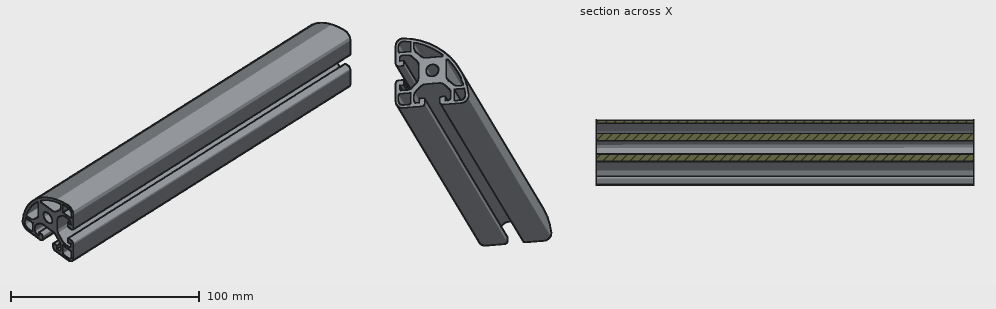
import cadquery as cq
import math

length = 200
half = 40 / 2
curve_radius = 40
corner_radius = 4.2
skin = 1.8
inner_radius = curve_radius - skin
bore_diameter = 6.8
core_half = 15.0 / 2

mouth_half = 8 / 2
mouth_outer_round = 1.8
mouth_inner_round = 1.0
nub_half = 7.0
nub_depth = 4.5
lip_depth = 2.2
slot_half = 10
slot_corner_round = 1.5

web_wall = 1.8
flat_wall = 1.5
chamber_start = slot_half + web_wall
chamber_end = half - flat_wall
chamber_outer_round = 2.8
chamber_side_round = 1.0
crescent_round = 0.5

slot_web_offset = 2.2
crescent_web_offset = 2.5
web_round = 4

ARC_45 = math.sqrt(0.5)


def section():
    """Sketch plane with local axes X and Z, at mid length."""
    return cq.Workplane("XZ")


def prism(profile):
    """Extrude a closed profile over the whole length."""
    return profile.extrude(length / 2, both=True)


def across_diagonal(shape):
    """Mirror a shape in the symmetry plane x = -z of the profile."""
    return cq.Workplane(shape.val().mirror(cq.Vector(1, 0, 1)))


def height_on_curve(radius, x):
    """Z of a circle about the square outer corner (half, -half)."""
    return -half + math.sqrt(radius**2 - (half - x) ** 2)


def diagonal_point(radius):
    """Point where a circle about the square outer corner meets x = -z."""
    reach = half - radius * ARC_45
    return reach, -reach


def web_ends(offset, side):
    """Inner and outer end of a web face, above (side 1) or below (side -1) the bore."""
    inner = (core_half - offset, side * core_half)
    outer = (slot_half, side * (slot_half + offset))
    return inner, outer


def blend_web(shape, ends):
    """Round the edges at both ends of a web face."""
    for x, z in ends:
        edge = cq.selectors.NearestToPointSelector((x, 0, z))
        shape = shape.edges("|Y").edges(edge).fillet(web_round)
    return shape


def body():
    """Solid quarter-round with all three corners rounded."""
    tangent = half - corner_radius
    bow = corner_radius * ARC_45
    top = height_on_curve(curve_radius, tangent)
    tip_centre = top - corner_radius
    profile = (
        section()
        .moveTo(-tip_centre, -half)
        .lineTo(tangent, -half)
        .threePointArc((tangent + bow, -tangent - bow), (half, -tangent))
        .lineTo(half, tip_centre)
        .threePointArc((tangent + bow, tip_centre + bow), (tangent, top))
        .threePointArc(diagonal_point(curve_radius), (-top, -tangent))
        .threePointArc((-tip_centre - bow, -tangent - bow), (-tip_centre, -half))
        .close()
    )
    return prism(profile)


def bottom_slot():
    """T-slot opening through the -Z side, with hooked lips."""
    nub_top = -half + nub_depth
    floor = -half + lip_depth
    web_inner, web_outer = web_ends(slot_web_offset, -1)
    half_profile = (
        section()
        .moveTo(0, -half)
        .lineTo(mouth_half + mouth_outer_round, -half)
        .radiusArc((mouth_half, -half + mouth_outer_round), mouth_outer_round)
        .lineTo(mouth_half, nub_top - mouth_inner_round)
        .radiusArc((mouth_half + mouth_inner_round, nub_top), mouth_inner_round)
        .lineTo(nub_half, nub_top)
        .lineTo(nub_half, floor)
        .lineTo(slot_half - slot_corner_round, floor)
        .radiusArc((slot_half, floor + slot_corner_round), -slot_corner_round)
        .lineTo(*web_outer)
        .lineTo(*web_inner)
        .lineTo(0, -core_half)
        .close()
    )
    right_half = blend_web(prism(half_profile), (web_inner, web_outer))
    return right_half.union(right_half.mirror("YZ"))


def square_corner_chamber():
    """Hollow in the square corner between the two slots."""
    size = chamber_end - chamber_start
    middle = (chamber_start + chamber_end) / 2
    chamber = prism(section().center(middle, -middle).rect(size, size))
    chamber = chamber.edges(">X and <Z").fillet(chamber_outer_round)
    chamber = chamber.edges(">X and >Z").fillet(chamber_side_round)
    return chamber.edges("<X and <Z").fillet(chamber_side_round)


def tip_chamber():
    """Hollow at the upper end of the quarter-round side."""
    round_start = chamber_end - chamber_outer_round
    top = height_on_curve(inner_radius, round_start)
    profile = (
        section()
        .moveTo(chamber_start, chamber_start)
        .lineTo(chamber_end - chamber_side_round, chamber_start)
        .radiusArc((chamber_end, chamber_start + chamber_side_round), -chamber_side_round)
        .lineTo(chamber_end, top - chamber_outer_round)
        .radiusArc((round_start, top), -chamber_outer_round)
        .radiusArc((chamber_start, height_on_curve(inner_radius, chamber_start)), -inner_radius)
        .close()
    )
    return prism(profile)


def crescent_chamber():
    """Hollow between the core, a web and the quarter-round skin."""
    sharp_end = half - math.sqrt(inner_radius**2 - (half + core_half) ** 2)
    web_inner, web_outer = web_ends(crescent_web_offset, 1)
    profile = (
        section()
        .moveTo(sharp_end, core_half)
        .lineTo(*web_inner)
        .lineTo(*web_outer)
        .lineTo(slot_half, height_on_curve(inner_radius, slot_half))
        .radiusArc((sharp_end, core_half), -inner_radius)
        .close()
    )
    chamber = prism(profile).edges("|Y").edges("<X or >Z").fillet(crescent_round)
    return blend_web(chamber, (web_inner, web_outer))


result = body().cut(prism(section().circle(bore_diameter / 2)))
result = result.cut(square_corner_chamber())
for hollow in (bottom_slot(), tip_chamber(), crescent_chamber()):
    result = result.cut(hollow).cut(across_diagonal(hollow))